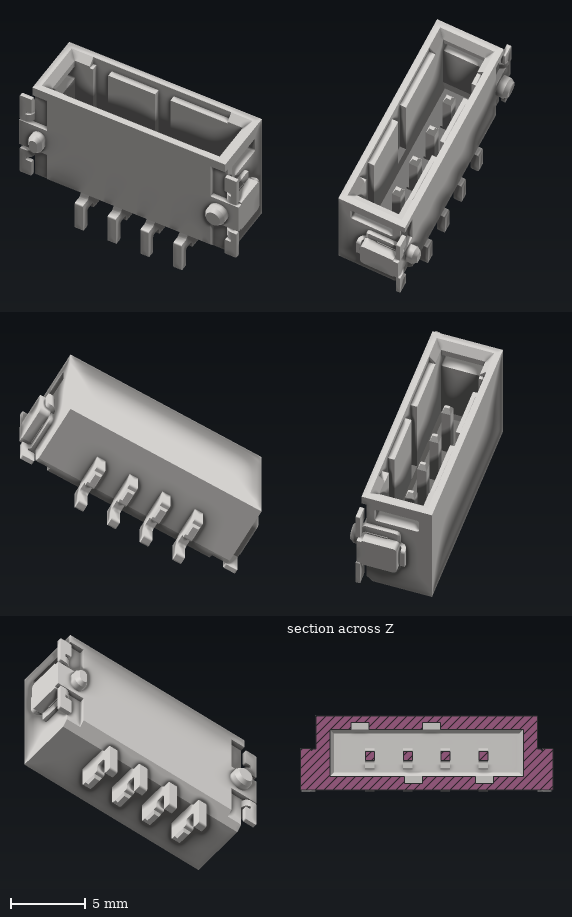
import cadquery as cq
import math


housing_x = 14.9
housing_y = 5.0
housing_z = 8.9
base_chamfer = 0.78
half_x = housing_x / 2

mouth_wall = 0.46
mouth_slope_x = 0.5
mouth_slope_y = 0.47
mouth_slope_z = 0.5
mouth_x = housing_x - 2 * mouth_wall
mouth_y = housing_y - 2 * mouth_wall
cavity_x = mouth_x - 2 * mouth_slope_x
cavity_y = mouth_y - 2 * mouth_slope_y
cavity_mid_y = housing_y / 2
floor_z = 1.5
floor_ramp = 0.26

rib_top_z = 8.25
rib_zone_x = 10.66
groove_width = 1.18
back_groove_centres = (-4.5, 0.31)
front_groove_centres = (-0.9, 3.87)

window_z = 1.19
window_mid_z = 7.285
window_radius = 0.15

relief_x = 1.13
relief_depth = 0.37
relief_top_z = 8.17

nail_mid_z = 4.2
ear_end_x = 16.98 / 2
ear_z = 2.55
ear_y = 2.84
ear_radius = 0.3
root_x = 0.35
root_y = 1.94
root_z = 2.78
tab_z = 2.27

sheet = 0.3
bend_inner = 0.2
bend_outer = bend_inner + sheet
bend_x = half_x + bend_outer
foot_y = -0.1
plate_z = 4.0
plate_y0 = foot_y + bend_outer
plate_y1 = 2.8
plate_radius = 0.36
plate_edge_chamfer = 0.13
hook_z = 1.7
hook_end_x = 8.21
hook_radius = 0.25
foot_end_x = 8.39
foot_start = 1.37
foot_end = 3.6
foot_slot_end = 2.29
foot_radius = 0.1

peg_height = 0.8
peg_tip_z = 0.3
peg_tip_inset = 0.2
peg_x = 6.95
peg_diameter = 1.5
slot_peg_x = 1.02

contact_count = 4
pitch = 2.54
contact_width = 0.64
shank_back_y = 2.89
shank_front_y = 1.3
shank_bottom_z = -1.69
shoulder_back_y = 2.8
shoulder_front_y = 1.39
shoulder_step_z = floor_z / 2
shoulder_top_z = floor_z + 0.3
post_back_y = 2.62
post_front_y = 1.97
post_top_z = 6.0
post_tip_z = 0.4
post_tip_x = 0.2
post_tip_y = 0.32
leg_back_y = 0.52
leg_end_z = -2.7
leg_top_z = -0.31
leg_slope_y = 0.82
arch_z = -1.12
arch_radius = 0.2
contact_radius = 0.13
shoulder_radius = 0.1
post_root_radius = 0.15
stub_mid_y = 2.08
stub_y = 0.95
stub_tip_y = 0.72
stub_tip_x = 0.4
stub_z = 0.26


def box(x0, x1, y0, y1, z0, z1):
    return cq.Workplane("XY").box(x1 - x0, y1 - y0, z1 - z0, centered=False).translate((x0, y0, z0))


def frustum(mid_x, mid_y, z0, size0, height, size1):
    """Rectangular frustum between two (x, y) sizes."""
    return (cq.Workplane("XY").workplane(offset=z0).center(mid_x, mid_y).rect(*size0)
            .workplane(offset=height).rect(*size1).loft(combine=True))


def make_housing():
    body = box(-half_x, half_x, 0, housing_y, 0, housing_z)
    return body.edges("|X and <Y and <Z").chamfer(base_chamfer)


def make_cavity():
    ramp_top_z = floor_z + floor_ramp
    slope_z = housing_z - mouth_slope_z
    floor_size = (cavity_x - 2 * floor_ramp, cavity_y - 2 * floor_ramp)
    wall_size = (cavity_x, cavity_y)
    ramp = frustum(0, cavity_mid_y, floor_z, floor_size, floor_ramp, wall_size)
    shaft = frustum(0, cavity_mid_y, ramp_top_z, wall_size, slope_z - ramp_top_z, wall_size)
    mouth = frustum(0, cavity_mid_y, slope_z, wall_size, mouth_slope_z, (mouth_x, mouth_y))
    cavity = ramp.union(shaft).union(mouth)

    mouth_y0 = cavity_mid_y - mouth_y / 2
    mouth_y1 = cavity_mid_y + mouth_y / 2
    cavity = cavity.union(box(-rib_zone_x / 2, rib_zone_x / 2, mouth_y0, mouth_y1, rib_top_z, housing_z))

    def groove(mid_x, y0, y1):
        return box(mid_x - groove_width / 2, mid_x + groove_width / 2, y0, y1, ramp_top_z, housing_z)

    for mid_x in back_groove_centres:
        cavity = cavity.union(groove(mid_x, cavity_mid_y, mouth_y1))
    for mid_x in front_groove_centres:
        cavity = cavity.union(groove(mid_x, mouth_y0, cavity_mid_y))
    return cavity


def make_window():
    """Window through the right-hand end wall."""
    return (cq.Workplane("YZ").workplane(offset=cavity_x / 2)
            .center(cavity_mid_y, window_mid_z).rect(cavity_y, window_z)
            .extrude(half_x - cavity_x / 2).edges("|X").fillet(window_radius))


def make_relief():
    """Right-hand corner relief; the ear tab refills its middle."""
    return box(half_x - relief_x, half_x, 0, relief_depth, 0, relief_top_z)


def make_ear():
    """Right-hand ear standing off the end wall on a tab flush with the mounting face."""
    wall = box(half_x + sheet, ear_end_x, relief_depth, ear_y,
               nail_mid_z - ear_z / 2, nail_mid_z + ear_z / 2)
    wall = wall.edges("|X and >Y").fillet(ear_radius)
    root = box(half_x, half_x + root_x, relief_depth, root_y,
               nail_mid_z - root_z / 2, nail_mid_z + root_z / 2)
    tab = box(half_x - relief_x, ear_end_x, 0, relief_depth,
              nail_mid_z - tab_z / 2, nail_mid_z + tab_z / 2)
    return wall.union(root).union(tab)


def bent_strip(bend_y, direction, end_x, z0, z1):
    """Quarter bend leaving the end wall along Y, then a flat run outwards to end_x."""
    diagonal = math.sqrt(0.5)

    def at(x, radial_y):
        return (x, bend_y + direction * radial_y)

    outline = (cq.Workplane("XY").workplane(offset=z0).moveTo(*at(half_x, 0))
               .threePointArc(at(bend_x - bend_outer * diagonal, bend_outer * diagonal),
                              at(bend_x, bend_outer))
               .lineTo(*at(end_x, bend_outer))
               .lineTo(*at(end_x, bend_inner))
               .lineTo(*at(bend_x, bend_inner))
               .threePointArc(at(bend_x - bend_inner * diagonal, bend_inner * diagonal),
                              at(half_x + sheet, 0))
               .close())
    return outline.extrude(z1 - z0)


def make_foot():
    """Upper solder foot with its bend, slotted beside the bend."""
    flat = box(half_x, foot_end_x, foot_y, foot_y + sheet,
               nail_mid_z + foot_start, nail_mid_z + foot_end)
    slot = box(half_x, bend_x, foot_y, foot_y + sheet,
               nail_mid_z + foot_start, nail_mid_z + foot_slot_end)
    flat = flat.cut(slot).edges("|Y").fillet(foot_radius)
    bend = bent_strip(plate_y0, -1, bend_x + foot_radius,
                      nail_mid_z + foot_start, nail_mid_z + plate_z / 2)
    return flat.union(bend)


def make_nail():
    """Right-hand solder nail: plate on the end wall, back hook and two feet."""
    blank = box(half_x, half_x + sheet, plate_y0, plate_y1,
                nail_mid_z - plate_z / 2, nail_mid_z + plate_z / 2)
    rounded = blank.edges("|X and >Y").fillet(plate_radius)
    bevelled = blank.edges("|Z and >X and >Y").chamfer(plate_edge_chamfer)
    plate = rounded.intersect(bevelled)
    hook = bent_strip(plate_y1, 1, hook_end_x, nail_mid_z - hook_z / 2, nail_mid_z + hook_z / 2)
    hook = hook.edges("|Y and >X").fillet(hook_radius)
    root = box(half_x, half_x + sheet, plate_y1 - plate_edge_chamfer, plate_y1,
               nail_mid_z - hook_z / 2, nail_mid_z + hook_z / 2)
    foot = make_foot()
    lower_foot = foot.mirror("XY", (0, 0, nail_mid_z))
    return plate.union(root).union(hook).union(foot).union(lower_foot)


def make_peg(outline):
    """Peg with a tapered tip, from an outline drawn on a plane facing -Y."""
    taper = math.degrees(math.atan2(peg_tip_inset, peg_tip_z))
    barrel = outline.extrude(peg_height - peg_tip_z)
    return barrel.union(barrel.faces("<Y").wires().toPending().workplane()
                        .extrude(peg_tip_z, taper=taper, combine=False))


def make_pegs():
    face = cq.Workplane("XZ")
    round_peg = make_peg(face.center(peg_x, nail_mid_z).circle(peg_diameter / 2))
    slot_peg = make_peg(face.center(-peg_x, nail_mid_z).slot2D(peg_diameter, slot_peg_x, 90))
    return round_peg.union(slot_peg)


def make_contact(mid_x):
    """Contact with a mating post, a shank through the floor and a gull-wing solder leg."""
    slope_top_z = leg_top_z + leg_slope_y - leg_back_y
    post_base_z = post_top_z - post_tip_z
    outline = [(shank_back_y, shank_bottom_z), (shank_front_y, shank_bottom_z),
               (shank_front_y, arch_z), (leg_back_y, arch_z),
               (leg_back_y, leg_end_z), (foot_y, leg_end_z),
               (foot_y, leg_top_z), (leg_back_y, leg_top_z),
               (leg_slope_y, slope_top_z), (shank_front_y, slope_top_z),
               (shank_front_y, shoulder_step_z), (shoulder_front_y, shoulder_step_z),
               (shoulder_front_y, shoulder_top_z), (post_front_y, shoulder_top_z),
               (post_front_y, post_base_z), (post_back_y, post_base_z),
               (post_back_y, shoulder_top_z), (shoulder_back_y, shoulder_top_z),
               (shoulder_back_y, shoulder_step_z), (shank_back_y, shoulder_step_z)]
    blade = (cq.Workplane("YZ").workplane(offset=mid_x - contact_width / 2)
             .polyline(outline).close().extrude(contact_width))

    rounded_corners = (
        (arch_radius, ((shank_front_y, arch_z), (leg_back_y, arch_z))),
        (contact_radius, ((shank_back_y, shank_bottom_z), (shank_front_y, shank_bottom_z),
                          (leg_back_y, leg_end_z), (foot_y, leg_end_z),
                          (foot_y, leg_top_z), (leg_back_y, leg_top_z))),
        (shoulder_radius, ((shoulder_back_y, shoulder_top_z), (shoulder_front_y, shoulder_top_z))),
        (post_root_radius, ((post_front_y, shoulder_top_z),)),
    )
    for radius, corners in rounded_corners:
        for y, z in corners:
            blade = blade.edges(cq.selectors.NearestToPointSelector((mid_x, y, z))).fillet(radius)

    post_mid_y = (post_back_y + post_front_y) / 2
    tip = frustum(mid_x, post_mid_y, post_base_z, (contact_width, post_back_y - post_front_y),
                  post_tip_z, (post_tip_x, post_tip_y))
    stub = frustum(mid_x, stub_mid_y, shank_bottom_z, (contact_width, stub_y),
                   -stub_z, (stub_tip_x, stub_tip_y))
    return blade.union(tip).union(stub)


def mirrored_pair(right_part):
    return right_part.union(right_part.mirror("YZ"))


result = make_housing().cut(make_cavity())
result = result.cut(mirrored_pair(make_window()))
result = result.cut(mirrored_pair(make_relief()))
result = result.union(mirrored_pair(make_ear()))
result = result.union(mirrored_pair(make_nail()))
result = result.union(make_pegs())
for index in range(contact_count):
    result = result.union(make_contact((index - (contact_count - 1) / 2) * pitch))